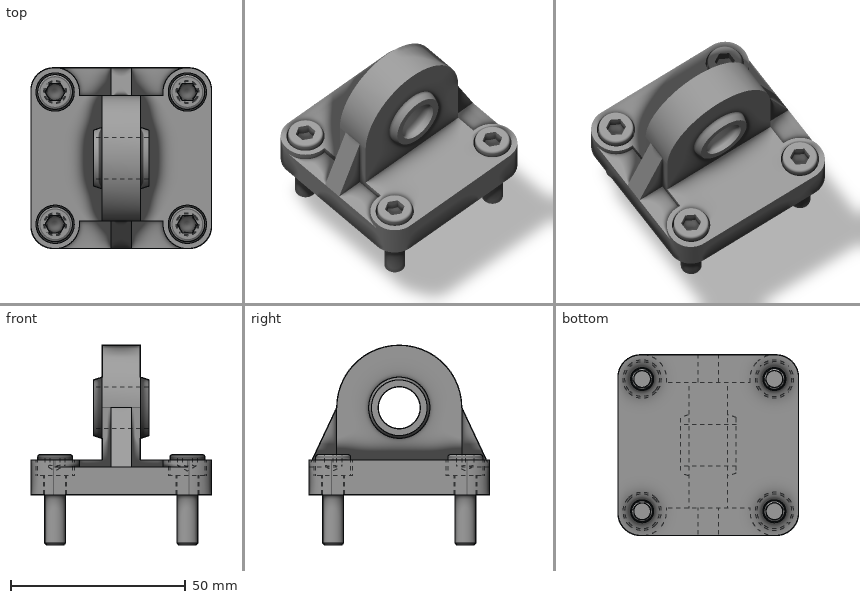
import cadquery as cq
import math

plate_size = 52.0
plate_height = 10.0
plate_corner_radius = 6.6

ledge_height = 8.0
boss_radius = 7.0

eye_radius = 18.0
eye_width = 11.0
pivot_height = 25.0

rib_width = 6.0

ball_width = 16.0
ball_crown_diameter = 19.0
ball_face_diameter = 16.0
ball_bore_diameter = 12.0

screw_spacing = 38.0
shank_diameter = 6.0
shank_length = 20.0
shank_chamfer = 0.6
head_diameter = 10.0
head_height = 6.0
head_fillet = 0.6
head_stand_out = 1.5
socket_across_flats = 5.0
socket_depth = 3.0
socket_tip_angle = 120.0
clearance_hole_diameter = 6.6
counterbore_diameter = 11.0

plate_half = plate_size / 2
screw_offset = screw_spacing / 2
screw_points = [(sx * screw_offset, sy * screw_offset) for sx in (-1, 1) for sy in (-1, 1)]
head_top = plate_height + head_stand_out
head_seat = head_top - head_height


def make_plate():
    """Rounded square plate with one ledge cut along each Y edge."""
    plate = (
        cq.Workplane("XY")
        .rect(plate_size, plate_size)
        .extrude(plate_height)
        .edges("|Z")
        .fillet(plate_corner_radius)
    )
    for side in (-1, 1):
        plate = plate.cut(make_ledge_cut(side))
    return plate


def make_ledge_cut(side):
    """Material above one ledge, bounded by the two screw bosses and the eye line."""
    boss_edge = screw_offset - boss_radius
    arc_reach = boss_radius * math.sqrt(0.5)
    arc_mid_x = screw_offset - arc_reach
    arc_mid_y = side * (screw_offset + arc_reach)
    inner_y = side * eye_radius
    boss_y = side * screw_offset
    outer_y = side * plate_half
    return (
        cq.Workplane("XY", origin=(0, 0, ledge_height))
        .moveTo(-boss_edge, inner_y)
        .lineTo(boss_edge, inner_y)
        .lineTo(boss_edge, boss_y)
        .threePointArc((arc_mid_x, arc_mid_y), (screw_offset, outer_y))
        .lineTo(-screw_offset, outer_y)
        .threePointArc((-arc_mid_x, arc_mid_y), (-boss_edge, boss_y))
        .close()
        .extrude(plate_height - ledge_height)
    )


def make_eye():
    """Upright lug with a half-round top centred on the pivot axis."""
    return (
        cq.Workplane("YZ")
        .moveTo(-eye_radius, 0)
        .lineTo(eye_radius, 0)
        .lineTo(eye_radius, pivot_height)
        .threePointArc((0, pivot_height + eye_radius), (-eye_radius, pivot_height))
        .close()
        .extrude(eye_width / 2, both=True)
    )


def make_ribs():
    """Both ribs as one trapezoid that runs through the eye."""
    return (
        cq.Workplane("YZ")
        .moveTo(-plate_half, ledge_height)
        .lineTo(plate_half, ledge_height)
        .lineTo(eye_radius, pivot_height)
        .lineTo(-eye_radius, pivot_height)
        .close()
        .extrude(rib_width / 2, both=True)
    )


def make_ball():
    """Bearing ball about the pivot axis, crowned along its length and flat at both ends."""
    crown_radius = ball_crown_diameter / 2
    face_radius = ball_face_diameter / 2
    ball_half = ball_width / 2
    return (
        cq.Workplane("XY")
        .moveTo(-ball_half, 0)
        .lineTo(-ball_half, face_radius)
        .threePointArc((0, crown_radius), (ball_half, face_radius))
        .lineTo(ball_half, 0)
        .close()
        .revolve(360, (0, 0, 0), (1, 0, 0))
        .translate((0, 0, pivot_height))
    )


def make_pivot_bore():
    """Bore through the ball along the pivot axis."""
    return (
        cq.Workplane("YZ", origin=(0, 0, pivot_height))
        .circle(ball_bore_diameter / 2)
        .extrude(ball_width, both=True)
    )


def make_socket():
    """Hexagonal socket with a conical floor, opening at the top of the screw head."""
    corner_radius = socket_across_flats / 2 / math.cos(math.radians(30))
    tip_depth = corner_radius / math.tan(math.radians(socket_tip_angle / 2))
    full_depth = socket_depth + tip_depth
    hexagon = (
        cq.Workplane("XY", origin=(0, 0, head_top))
        .polygon(6, 2 * corner_radius)
        .extrude(-full_depth)
    )
    pointed_envelope = (
        cq.Workplane("XZ")
        .moveTo(0, head_top)
        .lineTo(corner_radius, head_top)
        .lineTo(corner_radius, head_top - socket_depth)
        .lineTo(0, head_top - full_depth)
        .close()
        .revolve(360, (0, 0, 0), (0, 1, 0))
    )
    return hexagon.intersect(pointed_envelope)


def make_screw():
    """Socket head screw on the Z axis, with the head seated in the counterbore."""
    head = (
        cq.Workplane("XY", origin=(0, 0, head_seat))
        .circle(head_diameter / 2)
        .extrude(head_height)
        .faces(">Z")
        .edges()
        .fillet(head_fillet)
    )
    shank = (
        cq.Workplane("XY", origin=(0, 0, head_seat))
        .circle(shank_diameter / 2)
        .extrude(-shank_length)
        .faces("<Z")
        .chamfer(shank_chamfer)
    )
    return head.union(shank).cut(make_socket())


def make_screw_hole():
    """Clearance hole and counterbore on the Z axis."""
    clearance = cq.Workplane("XY").circle(clearance_hole_diameter / 2).extrude(plate_height)
    counterbore = (
        cq.Workplane("XY", origin=(0, 0, head_seat))
        .circle(counterbore_diameter / 2)
        .extrude(plate_height - head_seat)
    )
    return clearance.union(counterbore)


body = make_plate().union(make_eye()).union(make_ribs()).union(make_ball()).cut(make_pivot_bore())

screw = make_screw()
screw_hole = make_screw_hole()
for x, y in screw_points:
    body = body.cut(screw_hole.translate((x, y, 0)))
    body = body.union(screw.translate((x, y, 0)))

result = body